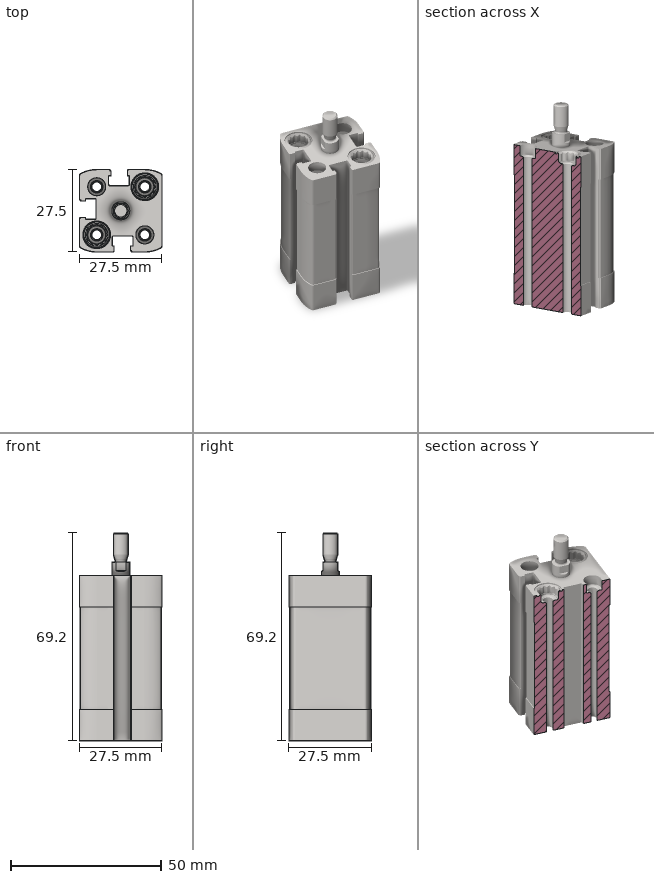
import cadquery as cq
import math

cap_width = 27.5
barrel_step = 0.25
housing_height = 55.0
cap_height = 10.5
crown_run = 5.75
crown_radius = 11.1
corner_fillet = 0.9

front_slot_floor = 8.4
left_slot_floor = 8.25
slot_ledge = 11.65
slot_neck_width = 5.4
slot_neck_offset = 0.5
slot_cavity_width = 6.8
slot_cavity_offset = 0.6
slot_floor_fillet = 0.35
lip_radius_small = 0.2
lip_radius_large = 0.45
slot_overrun = 1.0

hole_offset = 8.0
bore_diameter = 6.0
bore_depth = 3.5
through_diameter = 3.24
through_chamfer_diameter = 4.13

groove_outer_diameter = 9.2
groove_floor_diameter = 8.5
groove_depth = 0.5
socket_points = 12
socket_tip_radius = 3.5
socket_ridge_radius = socket_tip_radius * math.cos(math.radians(30)) / math.cos(math.radians(15))
socket_depth = 3.2
socket_mouth_radius = 3.75
socket_mouth_depth = 0.75

shoulder_diameter = 6.0
shoulder_height = 4.4
flat_width = 5.0
flat_bottom = 1.65
flat_runout = 0.4
neck_foot_diameter = 4.2
neck_waist_diameter = 3.8
neck_top_diameter = 4.0
neck_waist_height = 4.8
neck_top_height = 5.2
thread_diameter = 5.0
thread_start = 6.85
thread_chamfer = 0.43
rod_length = 14.2


def prism_section(half, height):
    """Block with flat sides and crowned front and back faces."""
    crown_center_y = half - crown_radius
    flat_half = half - crown_run
    corner_y = crown_center_y + math.sqrt(crown_radius ** 2 - crown_run ** 2)
    mid_angle = math.asin(crown_run / crown_radius) / 2
    mid_x = flat_half + crown_radius * math.sin(mid_angle)
    mid_y = crown_center_y + crown_radius * math.cos(mid_angle)
    block = (
        cq.Workplane("XY")
        .moveTo(-flat_half, half)
        .lineTo(flat_half, half)
        .threePointArc((mid_x, mid_y), (half, corner_y))
        .lineTo(half, -corner_y)
        .threePointArc((mid_x, -mid_y), (flat_half, -half))
        .lineTo(-flat_half, -half)
        .threePointArc((-mid_x, -mid_y), (-half, -corner_y))
        .lineTo(-half, corner_y)
        .threePointArc((-mid_x, mid_y), (-flat_half, half))
        .close()
        .extrude(height)
    )
    return block.edges("|Z and (<X or >X)").fillet(corner_fillet)


def slot_cutter(half, height, floor):
    """T-slot in the -Y direction: cavity, neck and rounded mouth lips."""
    cavity = (
        cq.Workplane("XY")
        .center(slot_cavity_offset, -(floor + slot_ledge) / 2)
        .rect(slot_cavity_width, slot_ledge - floor)
        .extrude(height)
        .edges("|Z and >Y")
        .fillet(slot_floor_fillet)
    )
    left = slot_neck_offset - slot_neck_width / 2
    right = slot_neck_offset + slot_neck_width / 2
    mouth = (
        cq.Workplane("XY")
        .moveTo(left, -slot_ledge)
        .lineTo(left, -half + lip_radius_small)
        .radiusArc((left - lip_radius_small, -half), -lip_radius_small)
        .lineTo(left - lip_radius_small, -half - slot_overrun)
        .lineTo(right + lip_radius_large, -half - slot_overrun)
        .lineTo(right + lip_radius_large, -half)
        .radiusArc((right, -half + lip_radius_large), -lip_radius_large)
        .lineTo(right, -slot_ledge)
        .close()
        .extrude(height)
    )
    return cavity.union(mouth)


def housing_section(half, bottom, height):
    """One length of the housing with slots in its front, back and left faces."""
    front_slot = slot_cutter(half, height, front_slot_floor)
    back_slot = front_slot.rotate((0, 0, 0), (0, 0, 1), 180)
    left_slot = slot_cutter(half, height, left_slot_floor).mirror("YZ").rotate((0, 0, 0), (0, 0, 1), -90)
    section = prism_section(half, height).cut(front_slot).cut(back_slot).cut(left_slot)
    return section.translate((0, 0, bottom))


def mounting_hole():
    """Stepped hole through the housing, its top at z = 0."""
    bore_radius = bore_diameter / 2
    through_radius = through_diameter / 2
    chamfer_radius = through_chamfer_diameter / 2
    chamfer_end = bore_depth + chamfer_radius - through_radius
    return (
        cq.Workplane("XZ")
        .moveTo(0, 0)
        .lineTo(bore_radius, 0)
        .lineTo(bore_radius, -bore_depth)
        .lineTo(chamfer_radius, -bore_depth)
        .lineTo(through_radius, -chamfer_end)
        .lineTo(through_radius, -housing_height)
        .lineTo(0, -housing_height)
        .close()
        .revolve(360, (0, 0), (0, 1))
    )


def socket_recess():
    """Twelve-point socket with a conical mouth and a ring groove around it, its top at z = 0."""
    half_pitch = math.pi / socket_points
    star = []
    for i in range(2 * socket_points):
        radius = socket_ridge_radius if i % 2 else socket_tip_radius
        star.append((radius * math.cos(i * half_pitch), radius * math.sin(i * half_pitch)))
    socket = cq.Workplane("XY").polyline(star).close().extrude(-socket_depth)
    mouth = (
        cq.Workplane("XZ")
        .moveTo(0, 0)
        .lineTo(socket_mouth_radius, 0)
        .lineTo(socket_ridge_radius, -socket_mouth_depth)
        .lineTo(0, -socket_mouth_depth)
        .close()
        .revolve(360, (0, 0), (0, 1))
    )
    groove = (
        cq.Workplane("XZ")
        .moveTo(socket_mouth_radius, 0)
        .lineTo(groove_outer_diameter / 2, 0)
        .lineTo(groove_outer_diameter / 2, -groove_depth)
        .lineTo(groove_floor_diameter / 2, -groove_depth)
        .close()
        .revolve(360, (0, 0), (0, 1))
    )
    return socket.union(mouth).union(groove)


def make_housing():
    cap_half = cap_width / 2
    barrel_height = housing_height - 2 * cap_height
    upper_cap_bottom = housing_height - cap_height
    body = housing_section(cap_half, 0, cap_height)
    body = body.union(housing_section(cap_half - barrel_step, cap_height, barrel_height))
    body = body.union(housing_section(cap_half, upper_cap_bottom, cap_height))
    for x_side in (-1, 1):
        for y_side in (-1, 1):
            corner = (x_side * hole_offset, y_side * hole_offset, housing_height)
            body = body.cut(mounting_hole().translate(corner))
            if x_side == y_side:
                body = body.cut(socket_recess().translate(corner))
    return body


def wrench_flat():
    """Cutter for the flat on the -Y side of the shoulder, with a sloped lower end."""
    flat_y = flat_width / 2
    rim_radius = shoulder_diameter / 2
    return (
        cq.Workplane("YZ")
        .moveTo(-flat_y, shoulder_height)
        .lineTo(-flat_y, flat_bottom)
        .lineTo(-rim_radius, flat_bottom - flat_runout)
        .lineTo(-rim_radius, shoulder_height)
        .close()
        .extrude(rim_radius, both=True)
    )


def make_rod():
    """Piston rod standing on the housing: shoulder, undercut neck and thread."""
    shoulder_radius = shoulder_diameter / 2
    thread_radius = thread_diameter / 2
    neck_waist = (neck_waist_diameter / 2, neck_waist_height)
    neck_top = (neck_top_diameter / 2, neck_top_height)
    rod = (
        cq.Workplane("XZ")
        .moveTo(0, 0)
        .lineTo(shoulder_radius, 0)
        .lineTo(shoulder_radius, shoulder_height)
        .lineTo(neck_foot_diameter / 2, shoulder_height)
        .threePointArc(neck_waist, neck_top)
        .lineTo(thread_radius, thread_start)
        .lineTo(thread_radius, rod_length - thread_chamfer)
        .lineTo(thread_radius - thread_chamfer, rod_length)
        .lineTo(0, rod_length)
        .close()
        .revolve(360, (0, 0), (0, 1))
    )
    front_flat = wrench_flat()
    rod = rod.cut(front_flat).cut(front_flat.mirror("XZ"))
    return rod.translate((0, 0, housing_height))


housing = make_housing()
rod = make_rod()
result = cq.Compound.makeCompound([housing.val(), rod.val()])